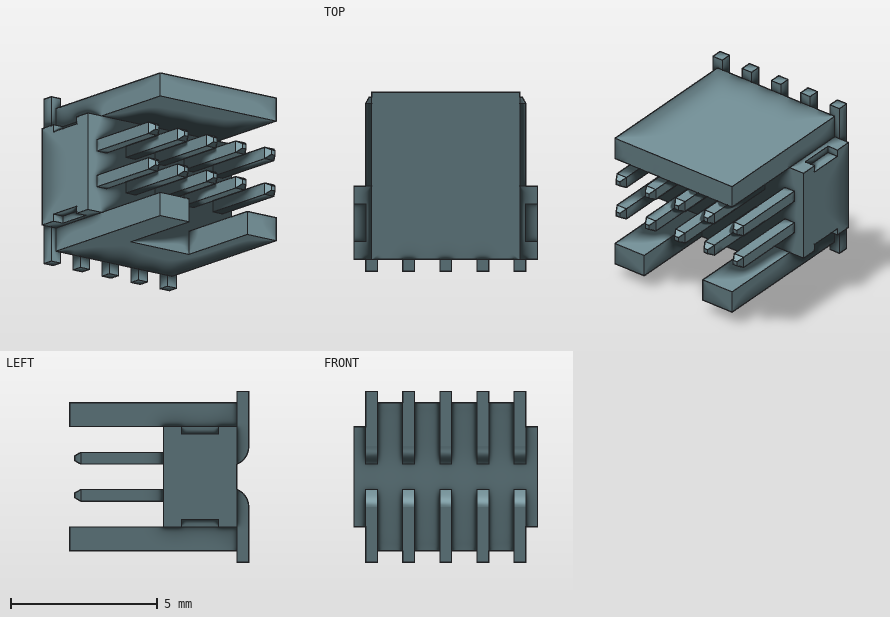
import cadquery as cq


pin_pitch = 1.265
pin_columns = 5
pin_size = 0.41

total_width = 6.27
total_height = 5.84

housing_side = (pin_columns - 1) * pin_pitch
plate_length = 5.71
plate_thickness = 0.82
base_length = 2.51
base_height = housing_side - 2 * plate_thickness

pocket_length = pin_pitch
pocket_width = 0.41
pocket_depth = 0.25

key_slot_width = 2 * pin_pitch

tip_gap = 0.17
tip_length = 0.215
tip_size = 0.16

lead_bend_height = 0.61

pin_xs = [(i - (pin_columns - 1) / 2) * pin_pitch for i in range(pin_columns)]
row_height = pin_pitch / 2


def box(width, length, height, x, y, z):
    """Box centred on x and z whose rear face lies at y."""
    return cq.Workplane("XY").box(width, length, height, centered=(True, False, True)).translate((x, y, z))


def make_housing():
    """Base between two plates, with pockets at its end corners and a key slot below."""
    housing = box(total_width, base_length, base_height, 0, 0, 0)
    plate_z = (housing_side - plate_thickness) / 2
    pocket_x = (total_width - pocket_width) / 2
    pocket_y = (base_length - pocket_length) / 2
    pocket_z = (base_height - pocket_depth) / 2
    for up in (-1, 1):
        housing = housing.union(box(housing_side, plate_length, plate_thickness, 0, 0, up * plate_z))
        for side in (-1, 1):
            housing = housing.cut(
                box(pocket_width, pocket_length, pocket_depth, side * pocket_x, pocket_y, up * pocket_z)
            )
    slot_length = plate_length - base_length
    return housing.cut(box(key_slot_width, slot_length, plate_thickness, 0, base_length, -plate_z))


def make_upper_pin():
    """Straight pin with a tapered tip, plus its rear lead turned up, at x = 0."""
    tip_y = plate_length - tip_gap
    shank_length = tip_y - tip_length
    shank = box(pin_size, shank_length, pin_size, 0, 0, row_height)
    tip = (
        cq.Workplane("XZ", origin=(0, tip_y, row_height))
        .rect(tip_size, tip_size)
        .workplane(offset=tip_length)
        .rect(pin_size, pin_size)
        .loft(ruled=True)
    )

    lead_top = total_height / 2
    foot_z = row_height - pin_size / 2
    bend_z = foot_z + lead_bend_height
    lead = (
        cq.Workplane("YZ", origin=(-pin_size / 2, 0, 0))
        .moveTo(0, lead_top)
        .lineTo(-pin_size, lead_top)
        .lineTo(-pin_size, bend_z)
        .tangentArcPoint((0, foot_z), relative=False)
        .close()
        .extrude(pin_size)
    )
    return shank.union(tip).union(lead)


result = make_housing()
upper_pin = make_upper_pin()
lower_pin = upper_pin.mirror("XY")
for pin_x in pin_xs:
    for pin in (upper_pin, lower_pin):
        result = result.union(pin.translate((pin_x, 0, 0)))